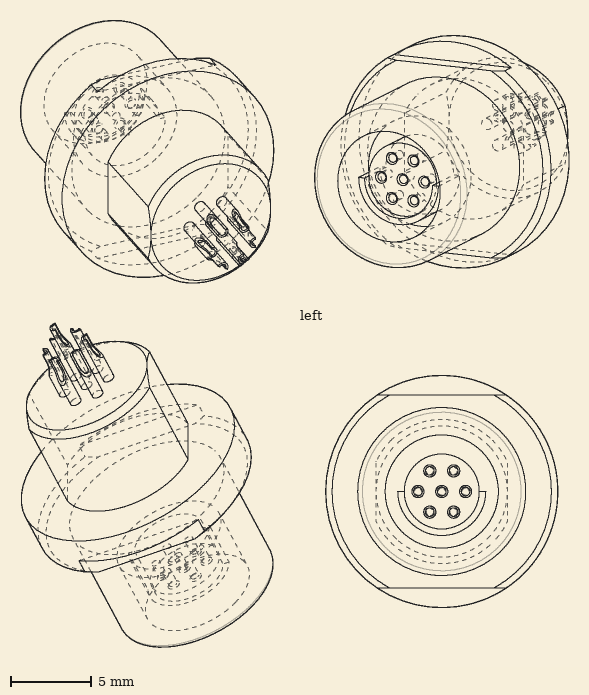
import cadquery as cq
import math

overall_length = 22.5

barrel_radius = 5.25
barrel_fillet = 0.3
bore_radius = 3.53
bore_depth = 4.5

flange_start = 8.0
flange_end = 11.0
flange_radius = 7.25
flange_chamfer_axial = 0.34
flange_chamfer_radial = 0.4
flange_flat_height = 6.0
flange_flat_end = 9.3

rear_end = 17.5
rear_radius = 4.5
rear_half_width = 4.1
rear_chamfer = rear_radius - rear_half_width

insert_radius = 2.35
insert_face = 2.0
key_radius = 2.75
key_face = 1.4

ring_contacts = 6
contact_pitch_radius = 1.48
socket_radius = 0.27
socket_mouth_radius = 0.38
socket_chamfer = socket_mouth_radius - socket_radius
socket_depth = 1.12

pin_radius = 0.35
pin_end = 20.97
cup_radius = 0.22
cup_opening_length = 1.78
cup_flat_length = 0.68


def cylinder(start, end, radius, y=0.0, z=0.0):
    """Round bar parallel to X between two X positions."""
    return cq.Workplane("YZ", origin=(start, y, z)).circle(radius).extrude(end - start)


def make_shell():
    """Barrel, flange and rear body as one turned profile."""
    return (
        cq.Workplane("XY")
        .moveTo(0, 0)
        .lineTo(0, barrel_radius - barrel_fillet)
        .radiusArc((barrel_fillet, barrel_radius), barrel_fillet)
        .lineTo(flange_start, barrel_radius)
        .lineTo(flange_start, flange_radius - flange_chamfer_radial)
        .lineTo(flange_start + flange_chamfer_axial, flange_radius)
        .lineTo(flange_end, flange_radius)
        .lineTo(flange_end, rear_radius)
        .lineTo(rear_end - rear_chamfer, rear_radius)
        .lineTo(rear_end, rear_radius - rear_chamfer)
        .lineTo(rear_end, 0)
        .close()
        .revolve(360, (0, 0, 0), (1, 0, 0))
    )


def flat_cutter(start, end, offset, axis):
    """Material beyond +/- offset along Y or Z, between two X positions."""
    length = end - start
    wide = 2 * flange_radius
    outer = cq.Workplane("XY").box(length, wide, wide)
    kept_size = (length, 2 * offset, wide) if axis == "Y" else (length, wide, 2 * offset)
    kept = cq.Workplane("XY").box(*kept_size)
    return outer.cut(kept).translate(((start + end) / 2, 0, 0))


def make_insert():
    """Insulator cylinder and the half-ring key along its lower half."""
    insulator = cylinder(insert_face, bore_depth, insert_radius)
    lower_half = (
        cq.Workplane("XY")
        .box(bore_depth, 2 * key_radius, key_radius)
        .translate((bore_depth / 2, 0, -key_radius / 2))
    )
    key = cylinder(key_face, bore_depth, key_radius).intersect(lower_half)
    key = key.cut(cylinder(key_face, bore_depth, insert_radius))
    return insulator.union(key)


def make_socket(y, z):
    """Contact hole with a chamfered mouth in the insulator face."""
    mouth = cq.Solid.makeCone(
        socket_mouth_radius,
        socket_radius,
        socket_chamfer,
        pnt=cq.Vector(insert_face, y, z),
        dir=cq.Vector(1, 0, 0),
    )
    return cylinder(insert_face, insert_face + socket_depth, socket_radius, y, z).union(mouth)


def make_pin(end):
    """Pin on the X axis, its solder cup opening toward +Y."""
    cup_start = end - cup_opening_length
    flat_start = end - cup_flat_length
    run = flat_start - cup_start
    arc_radius = (run**2 + pin_radius**2) / (2 * pin_radius)
    opening = (
        cq.Workplane("XY")
        .moveTo(cup_start, pin_radius)
        .radiusArc((flat_start, 0), -arc_radius)
        .lineTo(end, 0)
        .lineTo(end, pin_radius)
        .close()
        .extrude(pin_radius, both=True)
    )
    cup = cylinder(cup_start, end, cup_radius)
    return cylinder(rear_end, end, pin_radius).cut(opening).cut(cup)


result = make_shell()
result = result.cut(flat_cutter(flange_start, flange_flat_end, flange_flat_height, "Z"))
result = result.cut(flat_cutter(flange_end, rear_end, rear_half_width, "Y"))
result = result.cut(cylinder(0, bore_depth, bore_radius))
result = result.union(make_insert())

result = result.cut(make_socket(0, 0)).union(make_pin(overall_length))

for index in range(ring_contacts):
    angle = index * 360 / ring_contacts
    contact_y = contact_pitch_radius * math.cos(math.radians(angle))
    contact_z = contact_pitch_radius * math.sin(math.radians(angle))
    pin = make_pin(pin_end).rotate((0, 0, 0), (1, 0, 0), angle).translate((0, contact_y, contact_z))
    result = result.cut(make_socket(contact_y, contact_z)).union(pin)